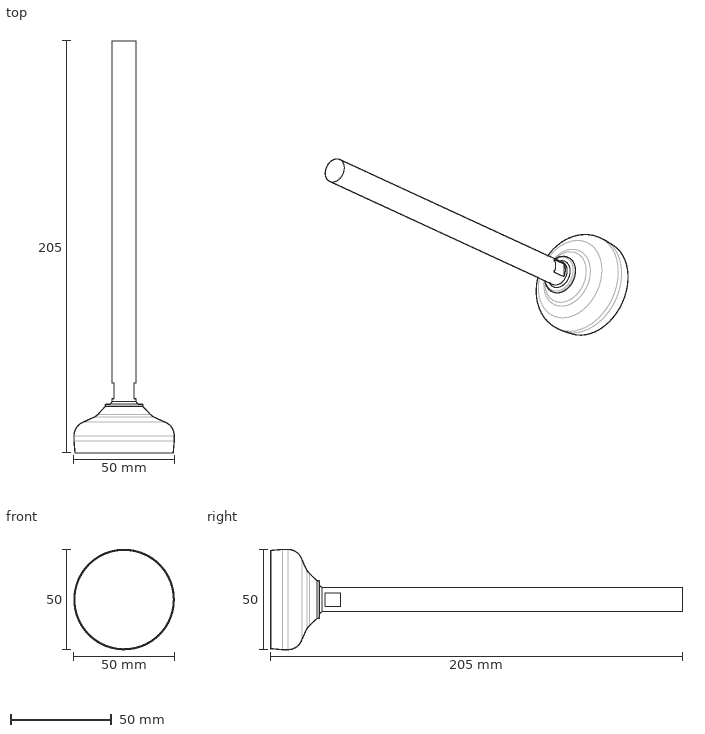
import cadquery as cq

total_length = 205.0
foot_diameter = 50.0
sole_diameter = 49.0
rod_diameter = 12.0

sole_taper_top = 6.0
rim_top = 8.6
shoulder_top = 15.5
slope_top = 18.0
neck_bottom = 19.3
neck_top = 23.2
foot_top = 24.4

foot_radius = foot_diameter / 2
sole_radius = sole_diameter / 2
shoulder_radius = 20.0
slope_radius = 14.8
neck_bottom_radius = 13.1
neck_radius = 9.5

neck_blend_radius = 5.7
neck_edge_radius = 0.6

flare_height = 1.2
flare_radius = 7.0
rod_radius = rod_diameter / 2

flat_width = 10.0
flat_bottom = 27.0
flat_top = 34.8

shoulder_rise = shoulder_top - rim_top
shoulder_inset = foot_radius - shoulder_radius
shoulder_arc_radius = (shoulder_rise**2 + shoulder_inset**2) / (2 * shoulder_inset)


def revolve_about_y(profile):
    """Turn a closed half profile, drawn as (radius, height), about the Y axis."""
    return profile.close().revolve(360, (0, 0, 0), (0, 1, 0))


def make_foot():
    """Round foot with a tapered sole, a bulging shoulder and a conical neck."""
    profile = (
        cq.Workplane("XY")
        .moveTo(0, 0)
        .lineTo(sole_radius, 0)
        .lineTo(foot_radius, sole_taper_top)
        .lineTo(foot_radius, rim_top)
        .radiusArc((shoulder_radius, shoulder_top), -shoulder_arc_radius)
        .lineTo(slope_radius, slope_top)
        .radiusArc((neck_bottom_radius, neck_bottom), neck_blend_radius)
        .lineTo(neck_radius, neck_top)
        .lineTo(neck_radius, foot_top - neck_edge_radius)
        .radiusArc((neck_radius - neck_edge_radius, foot_top), -neck_edge_radius)
        .lineTo(0, foot_top)
    )
    return revolve_about_y(profile)


def make_rod():
    """Straight rod standing on the foot, flared at its base, with two wrench flats."""
    profile = (
        cq.Workplane("XY")
        .moveTo(0, foot_top)
        .lineTo(flare_radius, foot_top)
        .lineTo(rod_radius, foot_top + flare_height)
        .lineTo(rod_radius, total_length)
        .lineTo(0, total_length)
    )
    rod = revolve_about_y(profile)
    flat_length = flat_top - flat_bottom
    for side in (-1, 1):
        cutter_center = side * (flat_width + rod_diameter) / 2
        cutter = cq.Workplane("XY").box(rod_diameter, flat_length, rod_diameter)
        rod = rod.cut(cutter.translate((cutter_center, (flat_top + flat_bottom) / 2, 0)))
    return rod


foot = make_foot()
rod = make_rod()
result = cq.Compound.makeCompound([foot.val(), rod.val()])